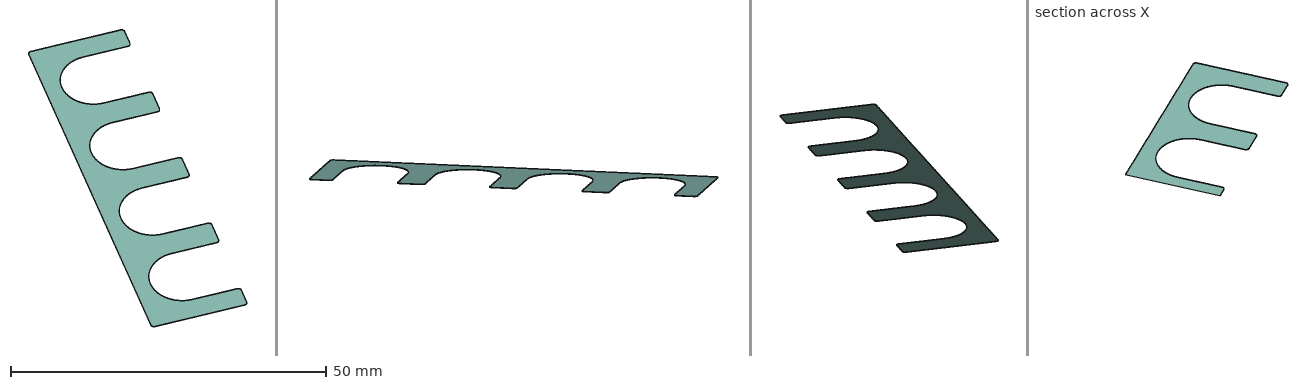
import cadquery as cq

length = 63.0
depth = 16.0
thickness = 0.1
corner_radius = 0.5

slot_count = 4
slot_pitch = 15.0
slot_width = 10.5

slot_radius = slot_width / 2
back_edge = depth / 2
slot_centre_y = 0.0


def slot_cutter(centre_x):
    """Solid that cuts one U-shaped slot through the plate."""
    left = centre_x - slot_radius
    right = centre_x + slot_radius
    return (
        cq.Workplane("XY")
        .moveTo(left, back_edge)
        .lineTo(left, slot_centre_y)
        .threePointArc((centre_x, slot_centre_y - slot_radius), (right, slot_centre_y))
        .lineTo(right, back_edge)
        .close()
        .extrude(thickness)
    )


plate = cq.Workplane("XY").box(length, depth, thickness, centered=(True, True, False))

for index in range(slot_count):
    slot_x = (index - (slot_count - 1) / 2) * slot_pitch
    plate = plate.cut(slot_cutter(slot_x))

result = plate.faces("<Y or >Y").edges("|Z").fillet(corner_radius)